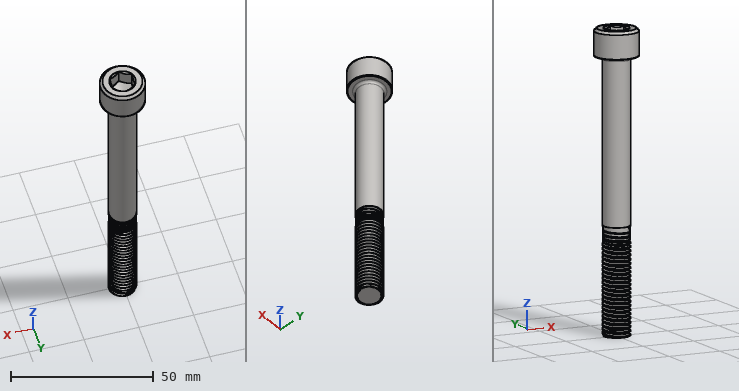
import cadquery as cq
import math


head_diameter = 16.0
head_height = 10.0
head_top_chamfer = 1.0
head_bottom_chamfer = 0.3

socket_width = 8.0
socket_depth = 5.0
socket_floor_angle = 30.0
socket_mouth_angle = 45.0
socket_corner_clearance = 0.05

thread_diameter = 10.0
screw_length = 100.0
plain_length = 60.5
head_fillet_radius = 1.0

pitch = 1.5
thread_is_left_handed = True
neck_diameter = 9.5
neck_length = 6.2
runout_turns = 4.5
runout_gap = 0.5 * pitch
flank_half_angle = 30.0
thread_depth = 0.6134 * pitch
crest_opening = 7 / 8 * pitch
groove_lead_in = 0.47
helix_on_cylinder = 360
groove_overlap = 0.1

head_radius = head_diameter / 2
thread_radius = thread_diameter / 2
neck_radius = neck_diameter / 2
socket_corner_diameter = socket_width / math.cos(math.pi / 6)
socket_bore_radius = socket_corner_diameter / 2 + socket_corner_clearance
root_radius = thread_radius - thread_depth
neck_top = -plain_length
neck_bottom = neck_top - neck_length
groove_top = neck_top - runout_gap
runout_height = runout_turns * pitch
groove_start = -screw_length - groove_lead_in


def make_blank():
    """Turned body: head, shank, relieved neck and unthreaded stem."""
    fillet_centre_x = thread_radius + head_fillet_radius
    fillet_reach = head_fillet_radius * math.sqrt(0.5)
    fillet_middle = (fillet_centre_x - fillet_reach, fillet_reach - head_fillet_radius)
    outline = (
        cq.Workplane("XZ")
        .moveTo(0, -screw_length)
        .lineTo(thread_radius, -screw_length)
        .lineTo(thread_radius, neck_bottom)
        .lineTo(neck_radius, neck_bottom)
        .lineTo(neck_radius, neck_top)
        .lineTo(thread_radius, neck_top)
        .lineTo(thread_radius, -head_fillet_radius)
        .threePointArc(fillet_middle, (fillet_centre_x, 0))
        .lineTo(head_radius - head_bottom_chamfer, 0)
        .lineTo(head_radius, head_bottom_chamfer)
        .lineTo(head_radius, head_height - head_top_chamfer)
        .lineTo(head_radius - head_top_chamfer, head_height)
        .lineTo(0, head_height)
        .close()
    )
    return outline.revolve(360, (0, 0), (0, 1))


def make_cone(large_radius, slope_angle, rim_z):
    """Downward-pointing cone with its rim at rim_z."""
    height = large_radius * math.tan(math.radians(slope_angle))
    apex = cq.Vector(0, 0, rim_z - height)
    return cq.Workplane(cq.Solid.makeCone(0, large_radius, height, apex))


def make_socket():
    """Hexagon with corners on the Y axis, a conical floor and a countersunk mouth."""
    rim_z = head_height - socket_depth
    hexagon = (
        cq.Workplane("XY")
        .polygon(6, socket_corner_diameter)
        .extrude(head_height)
        .rotate((0, 0, 0), (0, 0, 1), 30)
    )
    bore = cq.Workplane("XY", origin=(0, 0, rim_z)).circle(socket_bore_radius).extrude(socket_depth)
    pointed_bore = bore.union(make_cone(socket_bore_radius, socket_floor_angle, rim_z))
    mouth = make_cone(socket_bore_radius, socket_mouth_angle, head_height)
    return hexagon.intersect(pointed_bore).union(mouth)


def sweep_groove(height, start_z, start_angle=0, taper_angle=None):
    """V groove with a flat root, swept along a helix on a cylinder or, with a taper angle, on a cone."""
    cutter_depth = thread_depth + groove_overlap
    flank_slope = math.tan(math.radians(flank_half_angle))
    root_half_width = crest_opening / 2 - thread_depth * flank_slope
    mouth_half_width = root_half_width + cutter_depth * flank_slope
    profile = [
        (root_radius, -root_half_width),
        (root_radius + cutter_depth, -mouth_half_width),
        (root_radius + cutter_depth, mouth_half_width),
        (root_radius, root_half_width),
    ]
    path = cq.Wire.makeHelix(
        pitch,
        height,
        root_radius,
        angle=taper_angle or helix_on_cylinder,
        lefthand=thread_is_left_handed,
    )
    groove = cq.Workplane("XZ").polyline(profile).close().sweep(cq.Workplane(path), isFrenet=True)
    return groove.rotate((0, 0, 0), (0, 0, 1), start_angle).translate((0, 0, start_z))


def cut_thread(body):
    """Full-depth groove from the tip, then a groove that climbs out of the neck."""
    runout_start = groove_top - runout_height
    full_height = runout_start - groove_start
    hand = -1 if thread_is_left_handed else 1
    runout_angle = hand * 360 * full_height / pitch
    taper = math.degrees(math.atan2(neck_radius - root_radius, runout_height))
    body = body.cut(sweep_groove(full_height, groove_start))
    return body.cut(sweep_groove(runout_height, runout_start, runout_angle, taper))


result = cut_thread(make_blank().cut(make_socket()))